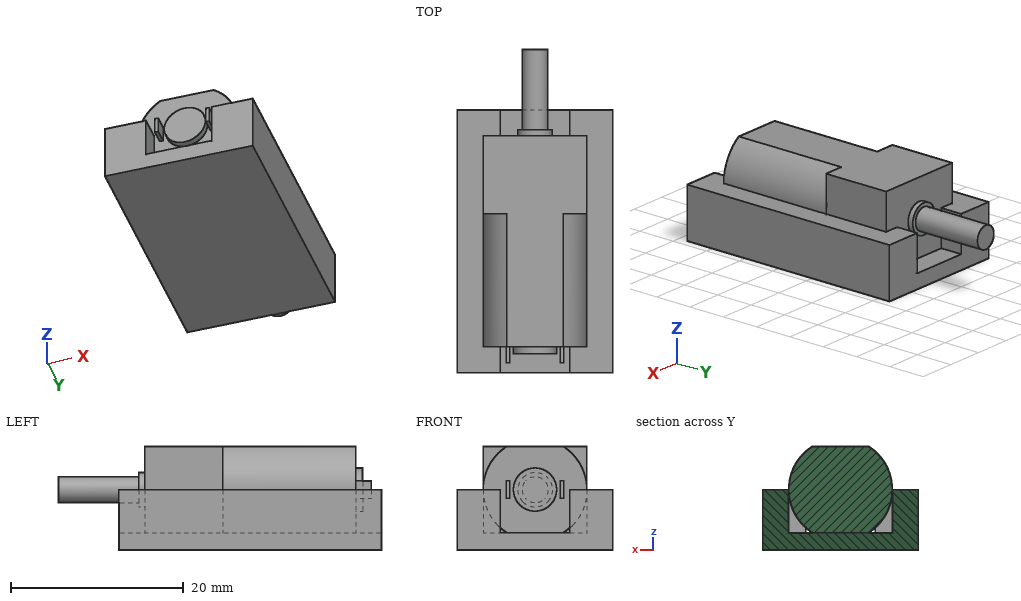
import cadquery as cq

body_width = 12.0
body_height = 10.0
can_length = 15.4
can_flat_width = 6.5
gearbox_length = 9.0
body_length = can_length + gearbox_length

end_cap_diameter = 5.0
end_cap_length = 0.8
terminal_thickness = 0.4
terminal_height = 2.0
terminal_length = 1.8
terminal_spacing = 6.2
boss_diameter = 4.0
boss_length = 0.7
shaft_diameter = 3.0
shaft_length = 10.0

wall = 3.0
floor = 2.0
end_slot_width = 8.0
holder_width = body_width + 2 * wall
holder_length = body_length + 2 * wall
pocket_depth = body_height / 2
holder_height = floor + pocket_depth

can_rear = 0.0
gearbox_rear = can_rear + can_length
gearbox_front = gearbox_rear + gearbox_length


def box(width, length, height, y_start, z_start, x_center=0.0):
    """Box centred on x_center that grows toward +Y and +Z."""
    return (
        cq.Workplane("XY")
        .box(width, length, height, centered=(True, False, False))
        .translate((x_center, y_start, z_start))
    )


def cylinder(diameter, length, y_start):
    """Cylinder on the motor axis that grows toward +Y."""
    return (
        cq.Workplane("XZ", origin=(0, y_start, 0))
        .circle(diameter / 2)
        .extrude(-length)
    )


def make_motor():
    half_flat = can_flat_width / 2
    half_width = body_width / 2
    half_height = body_height / 2
    motor = (
        cq.Workplane("XZ", origin=(0, can_rear, 0))
        .moveTo(-half_flat, half_height)
        .lineTo(half_flat, half_height)
        .threePointArc((half_width, 0), (half_flat, -half_height))
        .lineTo(-half_flat, -half_height)
        .threePointArc((-half_width, 0), (-half_flat, half_height))
        .close()
        .extrude(-can_length)
    )

    motor = motor.union(box(body_width, gearbox_length, body_height, gearbox_rear, -body_height / 2))
    motor = motor.union(cylinder(boss_diameter, boss_length, gearbox_front))
    motor = motor.union(cylinder(shaft_diameter, shaft_length, gearbox_front))

    motor = motor.union(cylinder(end_cap_diameter, end_cap_length, can_rear - end_cap_length))
    for side in (-1, 1):
        terminal = box(
            terminal_thickness,
            terminal_length,
            terminal_height,
            can_rear - terminal_length,
            -terminal_height / 2,
            side * terminal_spacing / 2,
        )
        motor = motor.union(terminal)
    return motor


def make_holder():
    holder_rear = can_rear - wall
    holder = box(holder_width, holder_length, holder_height, holder_rear, -holder_height)

    pocket = box(body_width, body_length, pocket_depth, can_rear, -pocket_depth)
    end_slots = box(end_slot_width, holder_length, pocket_depth, holder_rear, -pocket_depth)
    return holder.cut(pocket).cut(end_slots)


motor = make_motor()
holder = make_holder()

result = cq.Compound.makeCompound([motor.val(), holder.val()])